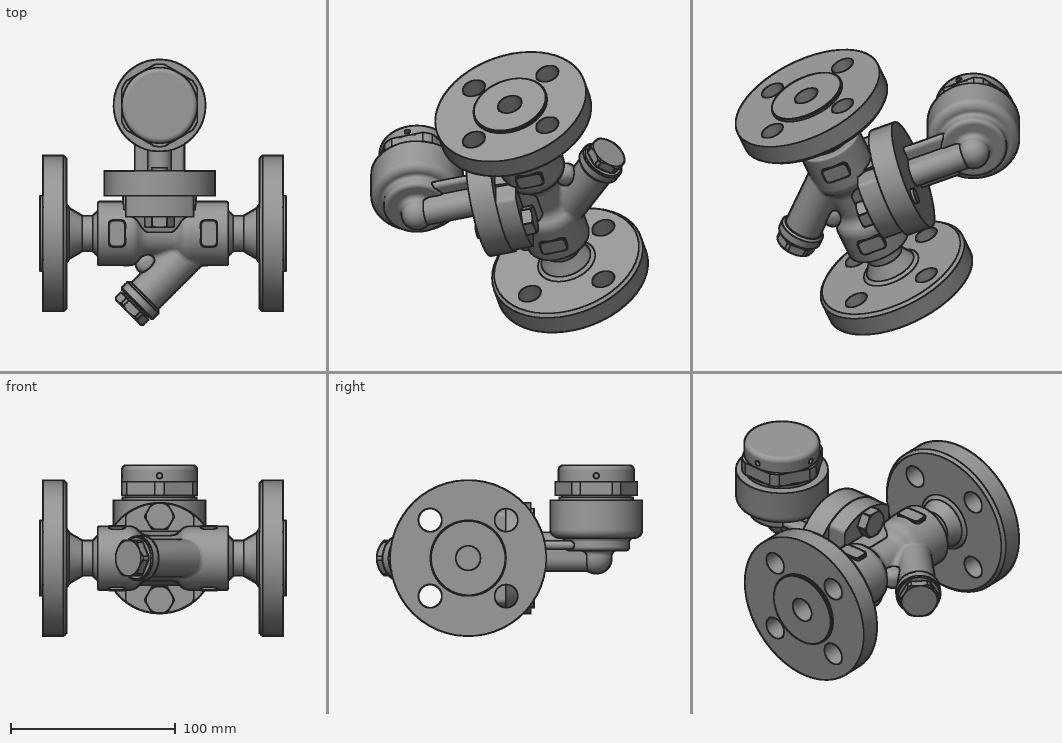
import cadquery as cq
import math


overall_length = 150.0
overall_depth = 161.5
raised_face_height = 2.0
raised_face_diameter = 46.0
raised_face_chamfer = 0.5
flange_diameter = 95.0
flange_thickness = 14.5
flange_back_chamfer = 2.0
bolt_hole_diameter = 14.0
bolt_hole_spacing = 46.2
bore_diameter = 15.0
bore_depth = 35.5

neck_root_diameter = 36.0
neck_root_length = 1.6
neck_cone_diameter = 31.0
pipe_diameter = 21.6
pipe_outer_x = 49.0
pipe_inner_x = 42.8
boss_diameter = 39.0
boss_end_x = 39.7
boss_end_fillet = 1.3
shoulder_diameter = 27.5
waist_diameter = 27.5
waist_half_length = 6.5
waist_blend_length = 12.1

pad_offset = 28.0
pad_length = 10.3
pad_width = 16.5
pad_corner = 2.9
pad_height = 19.7
pad_chamfer = 0.5
pad_root_height = 14.5

trap_x = -2.1
trap_y = 77.8

connector_diameter = 67.0
connector_rear_diameter = 67.5
connector_front_y = 10.2
connector_joint_y = 23.0
connector_rear_y = 38.1
connector_flat_half_width = 20.7
connector_flat_fillet = 3.2
fairing_half_width_front = 21.2
fairing_half_width_joint = 22.5
fairing_half_height = 13.0
tower_half_width = 17.8
tower_half_height = 16.5
tower_toe_y = 0.6
connector_bolt_z = 25.4
bolt_head_flats = 15.8
bolt_head_corners = 18.1
bolt_head_height = 6.5
bolt_head_chamfer = 0.8
bolt_end_diameter = 9.5
bolt_end_length = 2.0

strainer_origin_x = 26.8
strainer_diameter = 23.0
strainer_ring_diameter = 27.0
strainer_ring_start = 53.6
strainer_ring_end = 60.9
strainer_ring_chamfer = 1.5
strainer_ring_edge = 0.8
strainer_root_fillet = 2.9
plug_neck_diameter = 19.4
plug_start = 62.2
plug_flats = 21.6
plug_corners = 23.7
plug_chamfer = 1.0
web_x = -10.3
web_y = -18.1
web_diameter = 13.0
web_half_height = 6.1
web_fillet = 4.8

cap_top_z = 56.5
cap_diameter = 46.0
cap_fillet = 3.0
cap_hole_z = 50.0
cap_hole_diameter = 3.4
cap_hole_depth = 3.2
cap_hex_top_z = 46.5
cap_hex_bottom_z = 38.1
cap_hex_corners = 50.0
cap_neck_diameter = 45.0
cap_neck_top_z = 37.1
cap_groove_diameter = 42.0
drum_diameter = 56.0
drum_top_z = 35.2
drum_bottom_z = 12.1
drum_fillet = 5.0
disc_diameter = 40.4
disc_bottom_z = 4.5
disc_fillet = 2.5
disc_root_fillet = 2.1
stem_diameter = 19.0
stem_root_fillet = 2.9

passage_diameter = 15.0
lower_passage_z = -0.3
upper_passage_z = 8.2
rib_half_width = 15.2
rib_thickness = 5.2
rib_z = 7.9

front_reach = overall_depth - trap_y - drum_diameter / 2
plug_rim_radius = plug_corners / 2 - plug_chamfer
plug_end = front_reach * math.sqrt(2) - plug_rim_radius


def cylinder(plane, diameter, length):
    return cq.Workplane(plane).circle(diameter / 2).extrude(length)


def hex_head(plane, flats, corners, height, chamfer):
    """Hexagon whose corners are turned down and whose outer face is chamfered."""
    across_corners = flats / math.cos(math.pi / 6)
    prism = cq.Workplane(plane).polygon(6, across_corners).extrude(height)
    turned = cylinder(plane, corners, height)
    if chamfer:
        turned = turned.faces(cq.selectors.DirectionMinMaxSelector(plane.zDir, True)).chamfer(chamfer)
    return prism.intersect(turned)


def make_run(side):
    """One side (+1 or -1 along X) of the pipe run, from the raised face to the middle of the waist."""
    face_x = overall_length / 2
    flange_x = face_x - raised_face_height
    back_x = flange_x - flange_thickness
    face_r = raised_face_diameter / 2
    flange_r = flange_diameter / 2
    pipe_r = pipe_diameter / 2
    boss_r = boss_diameter / 2
    waist_r = waist_diameter / 2
    middle_x = side * trap_x
    waist_end_x = middle_x + waist_half_length
    blend_end_x = waist_end_x + waist_blend_length
    blend_middle = ((waist_end_x + blend_end_x) / 2, (waist_r + boss_r) / 2)
    corner = boss_end_fillet * (1 - math.sqrt(0.5))
    run = (
        cq.Workplane("XY")
        .moveTo(face_x, 0)
        .lineTo(face_x, face_r - raised_face_chamfer)
        .lineTo(face_x - raised_face_chamfer, face_r)
        .lineTo(flange_x, face_r)
        .lineTo(flange_x, flange_r)
        .lineTo(back_x + flange_back_chamfer, flange_r)
        .lineTo(back_x, flange_r - flange_back_chamfer)
        .lineTo(back_x, neck_root_diameter / 2)
        .lineTo(back_x - neck_root_length, neck_cone_diameter / 2)
        .lineTo(pipe_outer_x, pipe_r)
        .lineTo(pipe_inner_x, pipe_r)
        .lineTo(boss_end_x, shoulder_diameter / 2)
        .lineTo(boss_end_x, boss_r - boss_end_fillet)
        .threePointArc((boss_end_x - corner, boss_r - corner), (boss_end_x - boss_end_fillet, boss_r))
        .lineTo(blend_end_x, boss_r)
        .tangentArcPoint(blend_middle, relative=False)
        .tangentArcPoint((waist_end_x, waist_r), relative=False)
        .lineTo(middle_x, waist_r)
        .lineTo(middle_x, 0)
        .close()
        .revolve(360, (0, 0, 0), (1, 0, 0))
    )
    bolt_holes = (
        cq.Workplane("YZ", origin=(back_x, 0, 0))
        .rect(bolt_hole_spacing, bolt_hole_spacing, forConstruction=True)
        .vertices()
        .circle(bolt_hole_diameter / 2)
        .extrude(flange_thickness)
    )
    run = run.cut(bolt_holes)
    if side < 0:
        run = run.mirror("YZ")
    return run


def make_bores():
    """Blind pipe bores entering from both raised faces."""
    left = cylinder(cq.Plane((-overall_length / 2, 0, 0), normal=(1, 0, 0)), bore_diameter, bore_depth)
    return left.union(left.mirror("YZ"))


def make_pads():
    bottom = pad_root_height
    pads = (
        cq.Workplane("XY", origin=(0, 0, bottom))
        .pushPoints([(-pad_offset, 0), (pad_offset, 0)])
        .rect(pad_length, pad_width)
        .extrude(pad_height - bottom)
        .edges("|Z")
        .fillet(pad_corner)
        .faces(">Z")
        .chamfer(pad_chamfer)
    )
    return pads.union(pads.mirror("XY"))


def make_connector():
    """Bolted round flange joint, with the tower that carries it on the waist."""
    rear = cylinder(
        cq.Plane((trap_x, connector_joint_y, 0), xDir=(1, 0, 0), normal=(0, 1, 0)),
        connector_rear_diameter,
        connector_rear_y - connector_joint_y,
    )
    front = cylinder(
        cq.Plane((trap_x, connector_front_y, 0), xDir=(1, 0, 0), normal=(0, 1, 0)),
        connector_diameter,
        connector_joint_y - connector_front_y,
    )
    flats = cq.Workplane("XY", origin=(trap_x, connector_front_y, 0)).box(
        2 * connector_flat_half_width,
        connector_joint_y - connector_front_y,
        connector_diameter,
        centered=(True, False, True),
    )
    front = front.intersect(flats).edges("|Y").fillet(connector_flat_fillet)
    fairing = (
        cq.Workplane("XY", origin=(trap_x, 0, -fairing_half_height))
        .moveTo(-fairing_half_width_front, connector_front_y)
        .lineTo(fairing_half_width_front, connector_front_y)
        .lineTo(fairing_half_width_joint, connector_joint_y)
        .lineTo(-fairing_half_width_joint, connector_joint_y)
        .close()
        .extrude(2 * fairing_half_height)
    )
    tower = (
        cq.Workplane("YZ", origin=(trap_x - tower_half_width, 0, 0))
        .moveTo(tower_toe_y, waist_diameter / 2)
        .lineTo(connector_front_y, tower_half_height)
        .lineTo(connector_joint_y, tower_half_height)
        .lineTo(connector_joint_y, -tower_half_height)
        .lineTo(connector_front_y, -tower_half_height)
        .lineTo(tower_toe_y, -waist_diameter / 2)
        .close()
        .extrude(2 * tower_half_width)
    )
    return rear.union(front).union(fairing).union(tower)


def make_connector_bolt(z):
    head_plane = cq.Plane((trap_x, connector_front_y, z), xDir=(1, 0, 0), normal=(0, -1, 0))
    end_plane = cq.Plane((trap_x, connector_rear_y, z), xDir=(1, 0, 0), normal=(0, 1, 0))
    head = hex_head(head_plane, bolt_head_flats, bolt_head_corners, bolt_head_height, bolt_head_chamfer)
    return head.union(cylinder(end_plane, bolt_end_diameter, bolt_end_length))


def strainer_plane(distance):
    """Plane square to the strainer axis, which leaves the pipe at 45 degrees."""
    step = distance / math.sqrt(2)
    return cq.Plane((strainer_origin_x - step, -step, 0), xDir=(1, -1, 0), normal=(-1, -1, 0))


def make_strainer_cover():
    ring_length = strainer_ring_end - strainer_ring_start
    ring = (
        cylinder(strainer_plane(strainer_ring_start), strainer_ring_diameter, ring_length)
        .faces(cq.selectors.DirectionMinMaxSelector(cq.Vector(1, 1, 0), True))
        .chamfer(strainer_ring_chamfer)
        .faces(cq.selectors.DirectionMinMaxSelector(cq.Vector(-1, -1, 0), True))
        .chamfer(strainer_ring_edge)
    )
    neck = cylinder(strainer_plane(strainer_ring_end), plug_neck_diameter, plug_start - strainer_ring_end)
    plug = hex_head(strainer_plane(plug_start), plug_flats, plug_corners, plug_end - plug_start, plug_chamfer)
    return ring.union(neck).union(plug)


def make_web():
    """Rounded web filling the corner between the left boss and the strainer."""
    return (
        cq.Workplane("XY", origin=(web_x, web_y, -web_half_height))
        .circle(web_diameter / 2)
        .extrude(2 * web_half_height)
        .edges()
        .fillet(web_fillet)
    )


def make_trap():
    """Capped trap capsule, a stack of round parts on a vertical axis."""

    def level(z):
        return cq.Plane((trap_x, trap_y, z), xDir=(0, 1, 0), normal=(0, 0, 1))

    cap = cylinder(level(cap_hex_top_z), cap_diameter, cap_top_z - cap_hex_top_z)
    cap = cap.faces(">Z").edges().fillet(cap_fillet)
    for direction in ((1, 0, 0), (-1, 0, 0), (0, 1, 0), (0, -1, 0)):
        centre = cq.Vector(trap_x, trap_y, cap_hole_z)
        hole_start = centre + cq.Vector(*direction) * (cap_diameter / 2 - cap_hole_depth)
        hole_plane = cq.Plane(hole_start, normal=direction)
        cap = cap.cut(cylinder(hole_plane, cap_hole_diameter, cap_hole_depth))

    cap_hex = hex_head(
        level(cap_hex_bottom_z), cap_diameter, cap_hex_corners, cap_hex_top_z - cap_hex_bottom_z, 0
    )
    cap_neck = cylinder(level(drum_top_z), cap_neck_diameter, cap_neck_top_z - drum_top_z)
    cap_groove = cylinder(level(cap_neck_top_z), cap_groove_diameter, cap_hex_bottom_z - cap_neck_top_z)
    drum = cylinder(level(drum_bottom_z), drum_diameter, drum_top_z - drum_bottom_z)
    drum = drum.faces("<Z").edges().fillet(drum_fillet)

    disc_r = disc_diameter / 2
    stem_r = stem_diameter / 2
    base = (
        cq.Workplane("XZ", origin=(trap_x, trap_y, 0))
        .moveTo(0, drum_bottom_z)
        .lineTo(disc_r + disc_root_fillet, drum_bottom_z)
        .radiusArc((disc_r, drum_bottom_z - disc_root_fillet), -disc_root_fillet)
        .lineTo(disc_r, disc_bottom_z + disc_fillet)
        .radiusArc((disc_r - disc_fillet, disc_bottom_z), disc_fillet)
        .lineTo(stem_r + stem_root_fillet, disc_bottom_z)
        .radiusArc((stem_r, disc_bottom_z - stem_root_fillet), -stem_root_fillet)
        .lineTo(stem_r, 0)
        .radiusArc((0, -stem_r), stem_r)
        .close()
        .revolve(360, (0, 0, 0), (0, 1, 0))
    )
    return cap.union(cap_hex).union(cap_groove).union(cap_neck).union(drum).union(base)


def make_passages():
    """Upright slot-shaped passage casing with a round-edged rib on each side."""
    length = trap_y - connector_joint_y
    plane = cq.Plane((trap_x, connector_joint_y, 0), xDir=(-1, 0, 0), normal=(0, 1, 0))
    middle_z = (lower_passage_z + upper_passage_z) / 2
    slot_height = upper_passage_z - lower_passage_z + passage_diameter
    casing = cq.Workplane(plane).center(0, middle_z).slot2D(slot_height, passage_diameter, 90).extrude(length)
    ribs = cq.Workplane(plane).center(0, rib_z).slot2D(2 * rib_half_width, rib_thickness).extrude(length)
    return casing.union(ribs)


body = make_run(1).union(make_run(-1)).union(make_pads())
strainer_branch = cylinder(strainer_plane(0), strainer_diameter, strainer_ring_start)
root_reach = strainer_diameter / 2 + strainer_root_fillet
strainer_root = cq.selectors.BoxSelector(
    (trap_x - waist_half_length, -boss_diameter / 2, -root_reach),
    (strainer_origin_x, 0, root_reach),
)
body = body.union(strainer_branch).edges(strainer_root).fillet(strainer_root_fillet)

result = (
    body.union(make_web())
    .union(make_connector())
    .union(make_connector_bolt(connector_bolt_z))
    .union(make_connector_bolt(-connector_bolt_z))
    .union(make_strainer_cover())
    .union(make_passages())
    .union(make_trap())
    .cut(make_bores())
)